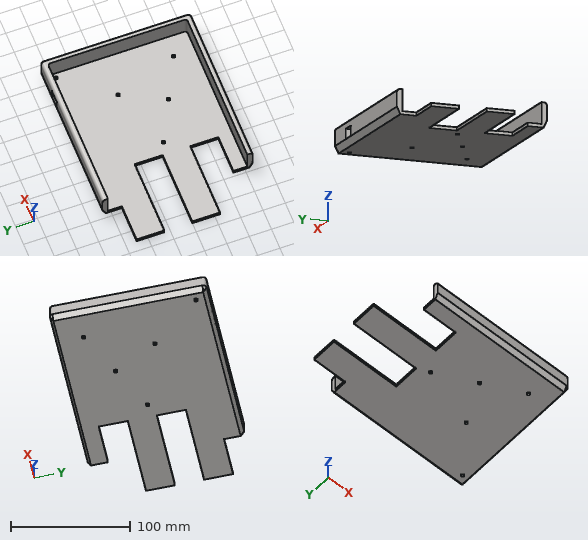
import cadquery as cq
import math

total_length = 182.29
tray_width = 134.88
tray_height = 22.0
wall = 5.0
floor_thickness = 3.0
inner_corner_radius = 2.5

edge_width = 3.0
base_bevel_height = 6.4

near_side_start = 34.29
far_side_start = 35.0

tab_width = 25.0
slot_end = 70.0
tab_starts_y = [-tab_width, tab_width]
slot_starts_y = [-2 * tab_width, 0.0]

hole_diameter = 2.9
hole_centers = [
    (81.8, -5.1),
    (119.9, -24.15),
    (138.9, 13.9),
    (158.0, -43.2),
    (173.1, 56.8),
]

window_start_x = 143.0
window_length = 12.0
window_bottom = 6.5
window_height = 9.0

half_width = tray_width / 2
inner_half_width = half_width - wall
inner_end = total_length - wall


def box(x_min, x_max, y_min, y_max, z_min, z_max):
    """Box given by its limits along each axis."""
    size = (x_max - x_min, y_max - y_min, z_max - z_min)
    return cq.Workplane("XY").box(*size, centered=False).translate((x_min, y_min, z_min))


def edge_profile(plane):
    """Cross-section of the outer edge: sloped base, upright side and rounded rim."""
    rim_start = tray_height - edge_width
    arc_middle = edge_width * math.sqrt(0.5)
    return (
        cq.Workplane(plane)
        .lineTo(edge_width, base_bevel_height)
        .lineTo(edge_width, rim_start)
        .threePointArc((arc_middle, rim_start + arc_middle), (0, tray_height))
        .close()
    )


def make_shell():
    """Outer block with its edge profile carried along three sides and round two corners."""
    core_end = total_length - edge_width
    core_half_width = half_width - edge_width
    side_length = core_end - near_side_start
    shell = box(near_side_start, core_end, -core_half_width, core_half_width, 0, tray_height)

    end_edge = edge_profile("XZ").extrude(core_half_width, both=True).translate((core_end, 0, 0))
    shell = shell.union(end_edge)

    far_edge = edge_profile("YZ").extrude(side_length).translate((near_side_start, core_half_width, 0))
    corner = edge_profile("XZ").revolve(90, (0, 0, 0), (0, 1, 0))
    corner = corner.translate((core_end, core_half_width, 0))
    for edge in (far_edge, corner):
        shell = shell.union(edge).union(edge.mirror("XZ"))
    return shell


def make_cavity():
    """Inner space, open at the top and at the tab end."""
    cavity = box(0, inner_end, -inner_half_width, inner_half_width, floor_thickness, tray_height)
    return cavity.edges("|Z and >X").fillet(inner_corner_radius)


def make_floor_strip(start_y):
    """Floor-thick strip, one pitch wide, from the tab tips to the slot ends."""
    return box(0, slot_end, start_y, start_y + tab_width, 0, floor_thickness)


def make_far_side_setback():
    """Material removed so that the far side starts further in."""
    return box(near_side_start, far_side_start, 0, half_width, 0, tray_height)


def make_screw_holes():
    """Round holes through the floor."""
    pins = cq.Workplane("XY").pushPoints(hole_centers)
    return pins.circle(hole_diameter / 2).extrude(floor_thickness)


def make_window():
    """Rectangular opening through the far side wall."""
    return box(
        window_start_x,
        window_start_x + window_length,
        inner_half_width,
        half_width,
        window_bottom,
        window_bottom + window_height,
    )


tray = make_shell().cut(make_cavity()).cut(make_far_side_setback())
for slot_y in slot_starts_y:
    tray = tray.cut(make_floor_strip(slot_y))
for tab_y in tab_starts_y:
    tray = tray.union(make_floor_strip(tab_y))

result = tray.cut(make_screw_holes()).cut(make_window())